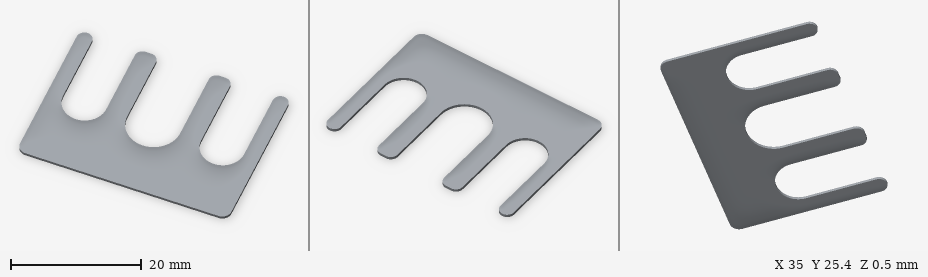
import cadquery as cq
import math

length = 35.05
width = 25.4
thickness = 0.5
base_corner_radius = 1.5

tip_radius = 1.25
outer_finger_width = 2 * tip_radius
inner_finger_width = 3.5
centre_slot_width = 8.75
slot_centre_depth = 12.72
side_slot_width = (length - centre_slot_width) / 2 - outer_finger_width - inner_finger_width

tip_y = width / 2
base_y = -width / 2
shoulder_y = tip_y - tip_radius
slot_centre_y = tip_y - slot_centre_depth
diagonal = math.sqrt(0.5)


def add_finger_tip(path, left, finger_width):
    """Round the end of a finger, starting from the top of its left edge."""
    right = left + finger_width
    left_centre = left + tip_radius
    right_centre = right - tip_radius
    offset = tip_radius * diagonal
    path = path.lineTo(left, shoulder_y)
    path = path.threePointArc((left_centre - offset, shoulder_y + offset), (left_centre, tip_y))
    if finger_width > outer_finger_width:
        path = path.lineTo(right_centre, tip_y)
    return path.threePointArc((right_centre + offset, shoulder_y + offset), (right, shoulder_y))


def add_slot(path, left, slot_width):
    """Run down a slot's left side and around its semicircular bottom."""
    radius = slot_width / 2
    path = path.lineTo(left, slot_centre_y)
    return path.threePointArc((left + radius, slot_centre_y - radius), (left + slot_width, slot_centre_y))


finger_widths = [outer_finger_width, inner_finger_width, inner_finger_width, outer_finger_width]
slot_widths = [side_slot_width, centre_slot_width, side_slot_width]

x = -length / 2
outline = cq.Workplane("XY").moveTo(x, base_y)
for finger_width, slot_width in zip(finger_widths, slot_widths):
    outline = add_finger_tip(outline, x, finger_width)
    x += finger_width
    outline = add_slot(outline, x, slot_width)
    x += slot_width
outline = add_finger_tip(outline, x, outer_finger_width)
outline = outline.lineTo(length / 2, base_y).close()

plate = outline.extrude(thickness)

result = plate.faces("<Y").edges("|Z").fillet(base_corner_radius)